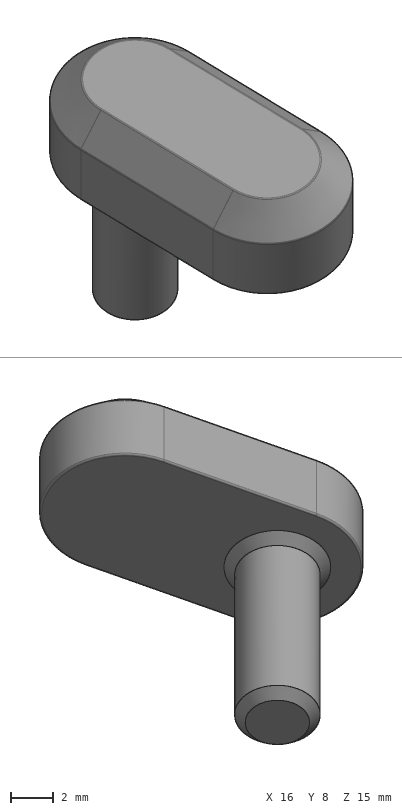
import cadquery as cq

head_length = 16.0
head_width = head_length / 2
head_height = 5.0
head_bevel = 1.5
edge_round = 0.1

pin_diameter = 4.0
pin_length = 10.0
pin_bevel = 0.5
pin_x = -(head_length - head_width) / 2


def make_head():
    """Bevelled bar standing on Z = 0, with its top and bottom edges softened."""
    bar = cq.Workplane("XY").slot2D(head_length, head_width).extrude(head_height)
    bevelled = bar.faces(">Z").chamfer(head_bevel)
    shoulder_z = head_height - head_bevel
    shoulder = cq.selectors.BoxSelector(
        (-head_length, -head_width, shoulder_z - edge_round),
        (head_length, head_width, shoulder_z + edge_round),
    )
    softened = bevelled.edges(shoulder).fillet(edge_round)
    return softened.faces("<Z or >Z").edges().fillet(edge_round)


def make_pin():
    """Round pin with a conical collar under the head and a bevelled tip."""
    radius = pin_diameter / 2
    profile = [
        (0, 0),
        (radius + pin_bevel, 0),
        (radius, -pin_bevel),
        (radius, pin_bevel - pin_length),
        (radius - pin_bevel, -pin_length),
        (0, -pin_length),
    ]
    pin = cq.Workplane("XZ").polyline(profile).close().revolve(360, (0, 0), (0, 1))
    return pin.translate((pin_x, 0, 0))


result = make_head().union(make_pin())